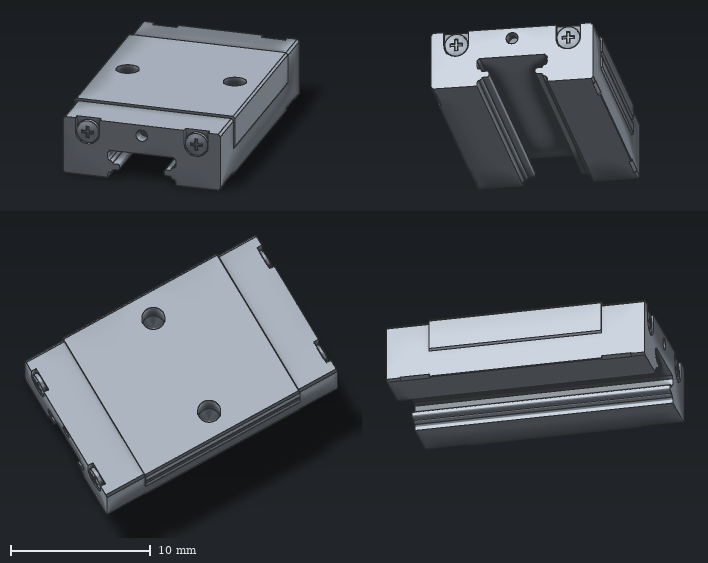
import cadquery as cq
import math

length = 19.0
block_width = 12.0
block_height = 4.5
block_length = 12.7
end_plate_thickness = 1.0
half_length = length / 2
end_cap_length = (length - block_length) / 2 - end_plate_thickness

block_top_chamfer = 0.15
block_bottom_chamfer = 0.05
side_relief_depth = 0.11
side_relief_top = 2.18
side_relief_bottom = 2.03

cap_width = block_width - 2 * side_relief_depth
cap_height = 4.31
cap_top_chamfer = 0.17
cap_bottom_chamfer = 0.2
plate_bottom_chamfer = 0.15

groove_top = 3.36
groove_floor = 3.1
groove_bottom = 2.89
groove_depth = 0.11

channel_half_width = 2.55
channel_height = 2.1
channel_chamfer = 0.19
lip_center_height = 0.87
lip_half_thickness = 0.23
lip_half_gap = 1.67
lip_tip_radius = 0.15
foot_radius = 0.04
shoulder_radius = 0.3
shoulder_width = 0.25
shoulder_height = 0.19
wall_arc_width = 0.13
wall_arc_height = 0.2

mounting_spacing = 8.02
mounting_diameter = 1.65
mounting_depth = 2.0
drill_point_angle = 118.0

screw_spacing = 8.13
screw_height = 3.3
screw_radius = 0.84
screw_pocket_radius = 0.9
screw_pocket_depth = 0.4
screw_dome_height = 0.1
cross_length = 0.87
cross_width = 0.2
cross_depth = 0.19
grease_hole_diameter = 0.85
grease_hole_height = 3.52


def prism(outline, y_start, y_length):
    """Extrude a closed XZ outline toward +Y from y_start."""
    return outline.extrude(-y_length).translate((0, y_start, 0))


def block_body():
    half = block_width / 2
    relieved = half - side_relief_depth
    right_side = [
        (relieved - block_bottom_chamfer, 0),
        (relieved, block_bottom_chamfer),
        (relieved, side_relief_bottom),
        (half, side_relief_top),
        (half, block_height - block_top_chamfer),
        (half - block_top_chamfer, block_height),
    ]
    left_side = [(-x, z) for x, z in reversed(right_side)]
    outline = cq.Workplane("XZ").polyline(right_side + left_side).close()
    return prism(outline, -block_length / 2, block_length)


def cap_body(bottom_chamfer, y_start, y_length):
    """Box with chamfered long edges, used for the end caps and end plates."""
    body = cq.Workplane("XY").box(cap_width, y_length, cap_height, centered=(True, False, False))
    body = body.edges("|Y and >Z").chamfer(cap_top_chamfer)
    body = body.edges("|Y and <Z").chamfer(bottom_chamfer)
    return body.translate((0, y_start, 0))


def reference_groove():
    """Groove with an arc above its deepest line and a sloping flat below it."""
    side = -block_width / 2
    rise = groove_top - groove_floor
    arc_radius = (rise**2 + groove_depth**2) / (2 * groove_depth)
    half_angle = math.atan2(groove_depth, rise)
    arc_middle = (
        side + groove_depth - arc_radius * (1 - math.cos(half_angle)),
        groove_floor + arc_radius * math.sin(half_angle),
    )
    outline = (
        cq.Workplane("XZ")
        .moveTo(side, groove_bottom)
        .lineTo(side + groove_depth, groove_floor)
        .threePointArc(arc_middle, (side, groove_top))
        .close()
    )
    return prism(outline, -block_length / 2, block_length)


def rail_channel():
    """Full channel less a lip on each side, open at the bottom and both ends."""
    channel = cq.Workplane("XY").box(
        2 * channel_half_width, length, channel_height, centered=(True, True, False)
    )
    channel = channel.edges("|Y and >Z").chamfer(channel_chamfer)

    wall_arc_radius = (wall_arc_width**2 + wall_arc_height**2) / (2 * wall_arc_width)
    shoulder_arc_end = channel_half_width - wall_arc_width
    shoulder_half_gap = shoulder_arc_end - shoulder_width
    foot_start = shoulder_half_gap - foot_radius
    foot_rise = lip_half_thickness + foot_radius
    shoulder_rise = foot_rise + shoulder_height
    wall_rise = shoulder_rise + wall_arc_height
    tip_rise = lip_half_thickness - lip_tip_radius
    tip_back = lip_half_gap + lip_tip_radius
    lip_outline = (
        cq.Workplane("XZ")
        .moveTo(lip_half_gap, -tip_rise)
        .lineTo(lip_half_gap, tip_rise)
        .radiusArc((tip_back, lip_half_thickness), lip_tip_radius)
        .lineTo(foot_start, lip_half_thickness)
        .radiusArc((shoulder_half_gap, foot_rise), -foot_radius)
        .radiusArc((shoulder_arc_end, shoulder_rise), shoulder_radius)
        .radiusArc((channel_half_width, wall_rise), -wall_arc_radius)
        .lineTo(channel_half_width, -wall_rise)
        .radiusArc((shoulder_arc_end, -shoulder_rise), -wall_arc_radius)
        .radiusArc((shoulder_half_gap, -foot_rise), shoulder_radius)
        .radiusArc((foot_start, -lip_half_thickness), -foot_radius)
        .lineTo(tip_back, -lip_half_thickness)
        .radiusArc((lip_half_gap, -tip_rise), lip_tip_radius)
        .close()
    )
    lip = prism(lip_outline, -half_length, length).translate((0, 0, lip_center_height))
    return channel.cut(lip).cut(lip.mirror("YZ"))


def mounting_hole():
    """Blind drilled hole on the Z axis, opening at the top of the block."""
    radius = mounting_diameter / 2
    point_length = radius / math.tan(math.radians(drill_point_angle / 2))
    shoulder_z = block_height - mounting_depth
    return (
        cq.Workplane("XZ")
        .moveTo(0, block_height)
        .lineTo(radius, block_height)
        .lineTo(radius, shoulder_z)
        .lineTo(0, shoulder_z - point_length)
        .close()
        .revolve(360, (0, 0, 0), (0, 1, 0))
    )


def screw_pocket():
    """Round-bottomed pocket open to the -Y face and the top, centered on the screw axis."""
    round_end = cq.Workplane("XZ").circle(screw_pocket_radius)
    opening = cq.Workplane("XZ").rect(2 * screw_pocket_radius, cap_height - screw_height)
    opening_center = (0, 0, (cap_height - screw_height) / 2)
    pocket = prism(round_end, 0, screw_pocket_depth)
    return pocket.union(prism(opening, 0, screw_pocket_depth).translate(opening_center))


def screw_head():
    """Domed head with a cross recess, its top level with the -Y face."""
    dome_radius = (screw_radius**2 + screw_dome_height**2) / (2 * screw_dome_height)
    dome_half_angle = math.asin(screw_radius / dome_radius) / 2
    dome_middle = (
        dome_radius * math.sin(dome_half_angle),
        dome_radius * (1 - math.cos(dome_half_angle)),
    )
    head = (
        cq.Workplane("XY")
        .lineTo(0, screw_pocket_depth)
        .lineTo(screw_radius, screw_pocket_depth)
        .lineTo(screw_radius, screw_dome_height)
        .threePointArc(dome_middle, (0, 0))
        .close()
        .revolve(360, (0, 0, 0), (0, 1, 0))
    )
    for size_x, size_z in [(cross_length, cross_width), (cross_width, cross_length)]:
        arm = cq.Workplane("XZ").rect(size_x, size_z)
        head = head.cut(prism(arm, 0, cross_depth))
    return head


def front_end_plate():
    plate = cap_body(plate_bottom_chamfer, -half_length, end_plate_thickness)
    hole_outline = cq.Workplane("XZ").center(0, grease_hole_height).circle(grease_hole_diameter / 2)
    plate = plate.cut(prism(hole_outline, -half_length, end_plate_thickness))
    for x in (-screw_spacing / 2, screw_spacing / 2):
        place = (x, -half_length, screw_height)
        plate = plate.cut(screw_pocket().translate(place))
        plate = plate.union(screw_head().translate(place))
    return plate


block = block_body().cut(reference_groove())
for hole_x in (-mounting_spacing / 2, mounting_spacing / 2):
    block = block.cut(mounting_hole().translate((hole_x, 0, 0)))

front_cap = cap_body(cap_bottom_chamfer, end_plate_thickness - half_length, end_cap_length)
front_plate = front_end_plate()

result = block
for end_part in (front_cap, front_plate):
    result = result.union(end_part, clean=False)
    result = result.union(end_part.mirror("XZ"), clean=False)
result = result.cut(rail_channel(), clean=False)